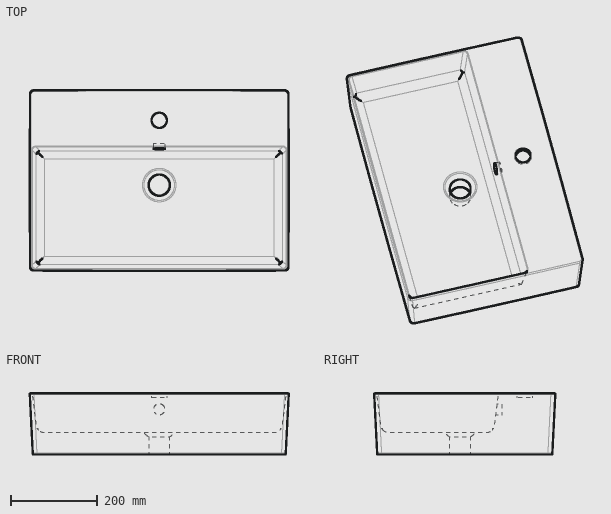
import cadquery as cq
import math

LENGTH = 599.5
WIDTH = 419.5
HEIGHT = 142.0
WALL_INSET = 7.0
LONG_SIDE_BOW = 1.0
SHORT_SIDE_BOW = 0.5
CORNER_RADIUS = 9.5
RIM_ROUND = 3.0
BASE_ROUND = 3.5

RIM_WIDTH = 6.0
DECK_DEPTH = 132.0
BASIN_DEPTH = 91.0
BASIN_WALL_INSET = 11.5
BASIN_CORNER_RADIUS = 8.5
FLOOR_ROUND = 19.0
BASIN_RIM_ROUND = 2.0

DRAIN_Y = -11.0
DRAIN_DIAMETER = 48.5
DRAIN_MOUTH_DIAMETER = 74.0
DRAIN_CONE_DEPTH = 10.0
DRAIN_MOUTH_ROUND = 5.5

TAP_Y = 139.0
TAP_DIAMETER = 35.5
TAP_DEPTH = 10.0
OVERFLOW_DIAMETER = 26.0
OVERFLOW_DEPTH = 12.5
OVERFLOW_BELOW_RIM = 37.0

BASIN_FRONT = -WIDTH / 2 + RIM_WIDTH
BASIN_BACK = WIDTH / 2 - DECK_DEPTH
FLOOR_Z = HEIGHT - BASIN_DEPTH


def lean_angle(inset, height):
    """Angle in degrees of a wall that moves in by `inset` over `height`."""
    return math.degrees(math.atan(inset / height))


def make_body():
    """Solid outer block with bowed walls that lean in towards the base."""
    rim_trim = RIM_ROUND * WALL_INSET / HEIGHT
    x_middle = LENGTH / 2 + rim_trim
    y_middle = WIDTH / 2 + rim_trim
    x_corner = x_middle - SHORT_SIDE_BOW
    y_corner = y_middle - LONG_SIDE_BOW
    return (
        cq.Workplane("XY", origin=(0, 0, HEIGHT))
        .moveTo(-x_corner, -y_corner)
        .threePointArc((0, -y_middle), (x_corner, -y_corner))
        .threePointArc((x_middle, 0), (x_corner, y_corner))
        .threePointArc((0, y_middle), (-x_corner, y_corner))
        .threePointArc((-x_middle, 0), (-x_corner, -y_corner))
        .close()
        .extrude(-HEIGHT, taper=lean_angle(WALL_INSET, HEIGHT))
        .edges("not(<Z or >Z)").fillet(CORNER_RADIUS)
        .faces("<Z").edges().fillet(BASE_ROUND)
        .faces(">Z").edges().fillet(RIM_ROUND)
    )


def make_basin_cavity():
    """Tapered pocket whose walls curve into the floor, with rounded upright corners."""
    pocket = (
        cq.Workplane("XY", origin=(0, (BASIN_FRONT + BASIN_BACK) / 2, HEIGHT))
        .rect(LENGTH - 2 * RIM_WIDTH, BASIN_BACK - BASIN_FRONT)
        .extrude(-BASIN_DEPTH, taper=lean_angle(BASIN_WALL_INSET, BASIN_DEPTH))
    )
    rounded_corners = pocket.edges("not(<Z or >Z)").fillet(BASIN_CORNER_RADIUS)
    rounded_floor = pocket.faces("<Z").edges().fillet(FLOOR_ROUND)
    return rounded_floor.intersect(rounded_corners)


def make_drain():
    """Through hole with a conical mouth at the basin floor."""
    mouth_radius = DRAIN_MOUTH_DIAMETER / 2
    hole_radius = DRAIN_DIAMETER / 2
    return (
        cq.Workplane("XZ", origin=(0, DRAIN_Y, 0))
        .polyline([
            (0, 0),
            (hole_radius, 0),
            (hole_radius, FLOOR_Z - DRAIN_CONE_DEPTH),
            (mouth_radius, FLOOR_Z),
            (0, FLOOR_Z),
        ])
        .close()
        .revolve(360, (0, 0, 0), (0, 1, 0))
    )


def make_tap_hole():
    """Shallow blind hole in the deck."""
    return (
        cq.Workplane("XY", origin=(0, TAP_Y, HEIGHT))
        .circle(TAP_DIAMETER / 2)
        .extrude(-TAP_DEPTH)
    )


def make_overflow():
    """Shallow blind hole in the back wall of the basin."""
    wall_y = BASIN_BACK - BASIN_WALL_INSET * OVERFLOW_BELOW_RIM / BASIN_DEPTH
    return (
        cq.Workplane("XZ", origin=(0, wall_y + OVERFLOW_DEPTH, HEIGHT - OVERFLOW_BELOW_RIM))
        .circle(OVERFLOW_DIAMETER / 2)
        .extrude(2 * OVERFLOW_DEPTH)
    )


body = make_body().cut(make_basin_cavity())

opening_margin = 0.8 * RIM_WIDTH
opening_edges = cq.selectors.BoxSelector(
    (-LENGTH / 2 + opening_margin, -WIDTH / 2 + opening_margin, HEIGHT - BASIN_RIM_ROUND),
    (LENGTH / 2 - opening_margin, BASIN_BACK + opening_margin, HEIGHT + BASIN_RIM_ROUND),
)
body = body.edges(opening_edges).fillet(BASIN_RIM_ROUND)

body = body.cut(make_drain())
mouth_edge = cq.selectors.NearestToPointSelector((0, DRAIN_Y, FLOOR_Z))
body = body.edges("%CIRCLE").edges(mouth_edge).fillet(DRAIN_MOUTH_ROUND)

result = body.cut(make_tap_hole()).cut(make_overflow())